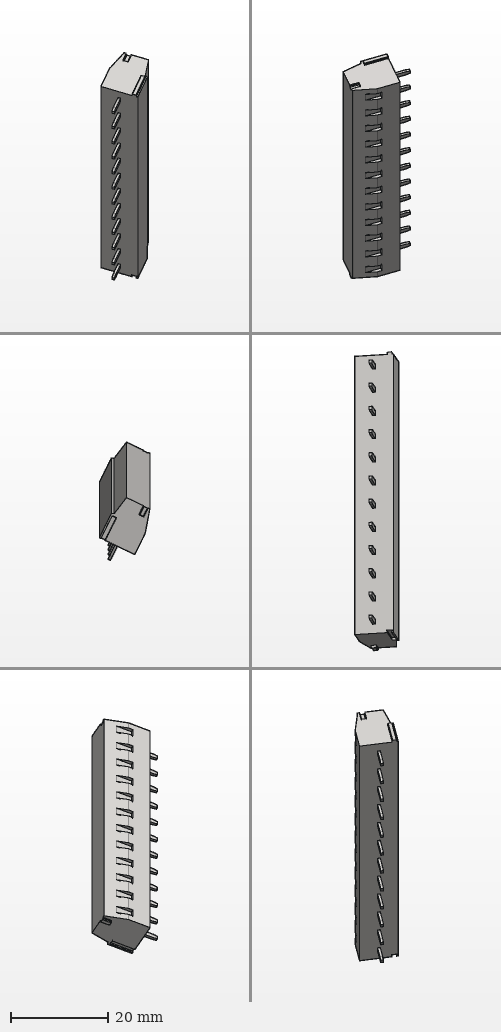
import cadquery as cq

overall_height = 61
pole_count = 12
body_height = 59.95
pitch = body_height / pole_count

body_width = 8.1
body_depth = 10.0
wall_depth = 5.0
crown_left = 1.35
crown_right = 6.8
crown_lip = 0.2
shoulder_x = 7.55
shoulder_inner_depth = 5.85
shoulder_outer_depth = 5.7

window_start = 4.0
window_length = 3.5
window_height = 1.8
window_floor_x = 0.7

pin_length = 3.65
pin_x = body_width / 2
pin_thickness = 0.55
pin_height = 1.05
pin_tip_height = 0.7
pin_taper_length = 0.9

rail_left = 6.85
rail_right = 7.8
rail_height = 0.5
rail_chamfer = 0.1
rail_length = 5.25

slot_left = 6.7
slot_right = 7.85
slot_lip = 0.1
slot_depth = 0.55

key_height = overall_height - body_height - rail_height
key_left = 1.8
key_right = 2.9
key_chamfer = 0.2
key_length = 2.0


def extrude_along_depth(points, start, length):
    """Extrude an XZ outline towards +Y, beginning at depth `start`."""
    return cq.Workplane("XZ", origin=(0, start, 0)).polyline(points).close().extrude(-length)


def pole_heights():
    """Z of the middle of every terminal cell."""
    return [(index + 0.5) * pitch for index in range(pole_count)]


def make_housing():
    """Housing prism with a sloped -X face, a narrow crown and a +X shoulder."""
    outline = [
        (0, 0),
        (body_width, 0),
        (body_width, shoulder_outer_depth),
        (shoulder_x, shoulder_inner_depth),
        (crown_right, body_depth),
        (crown_left, body_depth),
        (crown_left, body_depth - crown_lip),
        (0, wall_depth),
    ]
    return cq.Workplane("XY").polyline(outline).close().extrude(body_height)


def make_window(z):
    """Cutter for one wire window, centred on height z."""
    block = cq.Workplane("XY").box(
        window_floor_x, window_length, window_height, centered=(False, False, True)
    )
    return block.translate((0, window_start, z))


def make_pin(z):
    """Flat pin centred on height z, tapered in height towards its tip."""
    half_height = pin_height / 2
    half_tip = pin_tip_height / 2
    taper_y = pin_taper_length - pin_length
    outline = [
        (0, z - half_height),
        (taper_y, z - half_height),
        (-pin_length, z - half_tip),
        (-pin_length, z + half_tip),
        (taper_y, z + half_height),
        (0, z + half_height),
    ]
    start_x = pin_x - pin_thickness / 2
    return cq.Workplane("YZ", origin=(start_x, 0, 0)).polyline(outline).close().extrude(pin_thickness)


def make_rail():
    """Bar standing on the top end, chamfered along both upper edges."""
    top_z = body_height + rail_height
    chamfer_z = top_z - rail_chamfer
    outline = [
        (rail_left, body_height),
        (rail_right, body_height),
        (rail_right, chamfer_z),
        (rail_right - rail_chamfer, top_z),
        (rail_left + rail_chamfer, top_z),
        (rail_left, chamfer_z),
    ]
    return extrude_along_depth(outline, 0, rail_length)


def make_slot():
    """Cutter for the undercut slot in the bottom end, open at the pin side."""
    outline = [
        (slot_left + slot_lip, 0),
        (slot_right - slot_lip, 0),
        (slot_right, slot_depth),
        (slot_left, slot_depth),
    ]
    return extrude_along_depth(outline, 0, rail_length)


def make_key(z):
    """Key hanging below height z, chamfered along its foot, flush with the crown."""
    foot_z = z - key_height
    chamfer_z = foot_z + key_chamfer
    outline = [
        (key_left, z),
        (key_right, z),
        (key_right, chamfer_z),
        (key_right - key_chamfer, foot_z),
        (key_left + key_chamfer, foot_z),
        (key_left, chamfer_z),
    ]
    return extrude_along_depth(outline, body_depth - key_length, key_length)


result = make_housing()
for pole_z in pole_heights():
    result = result.cut(make_window(pole_z)).union(make_pin(pole_z))

result = result.union(make_rail()).cut(make_slot())
result = result.cut(make_key(body_height)).union(make_key(0))